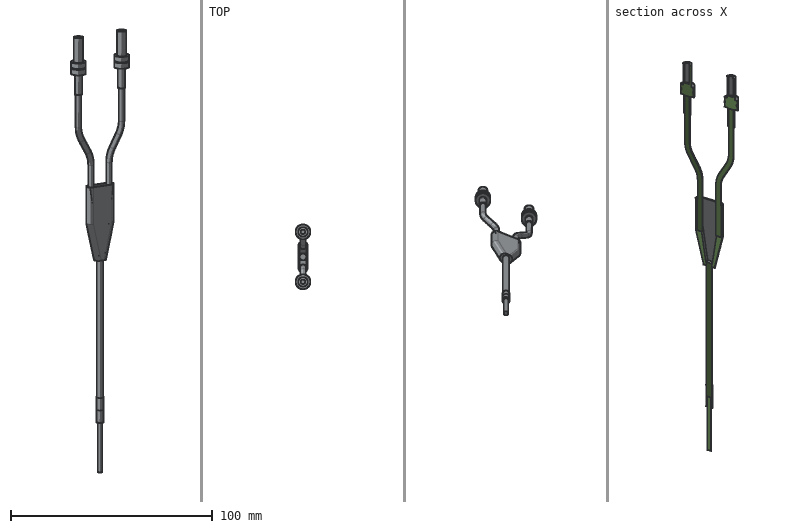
import cadquery as cq
import math

overall_height = 225.2
sleeve_bottom = 25.7
sleeve_top = 38.5
sleeve_middle = (sleeve_bottom + sleeve_top) / 2
splitter_bottom = 109.2
splitter_shoulder = 128.8
splitter_top = 147.5
cable_top = 111.5
bend_bottom = 158.8
bend_top = 179.0
boot_bottom = 196.0
collar_bottom = 206.5
collar_top = 212.5

tip_diameter = 2.3
cable_diameter = 3.4
sleeve_diameter = 3.5
wire_diameter = 3.0
boot_diameter = 3.8
collar_diameter = 7.5
pin_diameter = 4.7

groove_width = 0.5
groove_depth = 0.5
groove_bottom = (collar_bottom + collar_top - groove_width) / 2
groove_top = groove_bottom + groove_width
groove_floor_diameter = collar_diameter - 2 * groove_depth
bore_diameter = 2.3
bore_depth = 11.3
bore_bottom = overall_height - bore_depth

splitter_thickness = 4.7
splitter_top_width = 15.3
splitter_bottom_width = 6.3

overall_width = 32.2
connector_offset = (overall_width - collar_diameter) / 2
wire_exit_offset = 5.2
bend_angle = math.radians(29)
bend_rise = bend_top - bend_bottom
bend_run = connector_offset - wire_exit_offset
bend_radius = (bend_rise * math.sin(bend_angle) - bend_run * math.cos(bend_angle)) / (
    2 * (1 - math.cos(bend_angle))
)

cavity_top_width = 2 * wire_exit_offset + wire_diameter
cavity_thickness = cable_diameter

sides = (-1, 1)


def cylinder(diameter, bottom, top, y=0.0):
    """Upright cylinder between two heights."""
    return cq.Workplane("XY", origin=(0, y, bottom)).circle(diameter / 2).extrude(top - bottom)


def make_tip():
    """Thin probe rod whose upper end is held in the sleeve."""
    return cylinder(tip_diameter, 0, sleeve_middle)


def make_cable():
    """Single cable from the middle of the sleeve to the throat of the splitter."""
    return cylinder(cable_diameter, sleeve_middle, cable_top)


def make_sleeve():
    """Sleeve that joins the cable to the tip, each reaching halfway into it."""
    body = cylinder(sleeve_diameter, sleeve_bottom, sleeve_top)
    return body.cut(make_tip()).cut(make_cable())


def make_splitter():
    """Rounded bar that narrows to the cable, hollowed by a V-shaped cavity that holds both wires."""
    taper = (
        cq.Workplane("XY", origin=(0, 0, splitter_bottom))
        .slot2D(splitter_bottom_width, splitter_thickness, 90)
        .workplane(offset=splitter_shoulder - splitter_bottom)
        .slot2D(splitter_top_width, splitter_thickness, 90)
        .loft(ruled=True)
    )
    straight = (
        cq.Workplane("XY", origin=(0, 0, splitter_shoulder))
        .slot2D(splitter_top_width, splitter_thickness, 90)
        .extrude(splitter_top - splitter_shoulder)
    )
    cavity = (
        cq.Workplane("YZ")
        .polyline(
            [
                (-cable_diameter / 2, cable_top),
                (cable_diameter / 2, cable_top),
                (cavity_top_width / 2, splitter_top),
                (-cavity_top_width / 2, splitter_top),
            ]
        )
        .close()
        .extrude(cavity_thickness / 2, both=True)
    )
    body = taper.union(straight).cut(cavity).cut(make_cable())
    for side in sides:
        body = body.cut(make_wire(side))
    return body


def make_wire(side):
    """Wire from the splitter's shoulder to the connector, with an S-bend on the way."""

    def arc_offset(angle):
        return bend_radius * (1 - math.cos(angle))

    def arc_rise(angle):
        return bend_radius * math.sin(angle)

    def lower_arc_point(angle):
        return side * (wire_exit_offset + arc_offset(angle)), bend_bottom + arc_rise(angle)

    def upper_arc_point(angle):
        return side * (connector_offset - arc_offset(angle)), bend_top - arc_rise(angle)

    path = (
        cq.Workplane("YZ")
        .moveTo(side * wire_exit_offset, splitter_shoulder)
        .lineTo(side * wire_exit_offset, bend_bottom)
        .threePointArc(lower_arc_point(bend_angle / 2), lower_arc_point(bend_angle))
        .lineTo(*upper_arc_point(bend_angle))
        .threePointArc(upper_arc_point(bend_angle / 2), (side * connector_offset, bend_top))
        .lineTo(side * connector_offset, collar_bottom)
    )
    wire_end = cq.Workplane("XY", origin=(0, side * wire_exit_offset, splitter_shoulder))
    return wire_end.circle(wire_diameter / 2).sweep(path)


def make_connector(side):
    """Bored pin with a grooved collar, and a tubular boot around the end of the wire."""
    y = side * connector_offset
    boot = cylinder(boot_diameter, boot_bottom, collar_bottom, y)
    collar = cylinder(collar_diameter, collar_bottom, collar_top, y)
    pin = cylinder(pin_diameter, collar_top, overall_height, y)
    groove = cylinder(collar_diameter, groove_bottom, groove_top, y).cut(
        cylinder(groove_floor_diameter, groove_bottom, groove_top, y)
    )
    bore = cylinder(bore_diameter, bore_bottom, overall_height, y)
    wire_socket = cylinder(wire_diameter, boot_bottom, collar_bottom, y)
    return boot.union(collar).union(pin).cut(groove).cut(bore).cut(wire_socket)


tip = make_tip()
sleeve = make_sleeve()
cable = make_cable()
splitter = make_splitter()
wires = [make_wire(side) for side in sides]
connectors = [make_connector(side) for side in sides]

bodies = [tip, sleeve, cable, splitter, *wires, *connectors]
result = cq.Compound.makeCompound([body.val() for body in bodies])